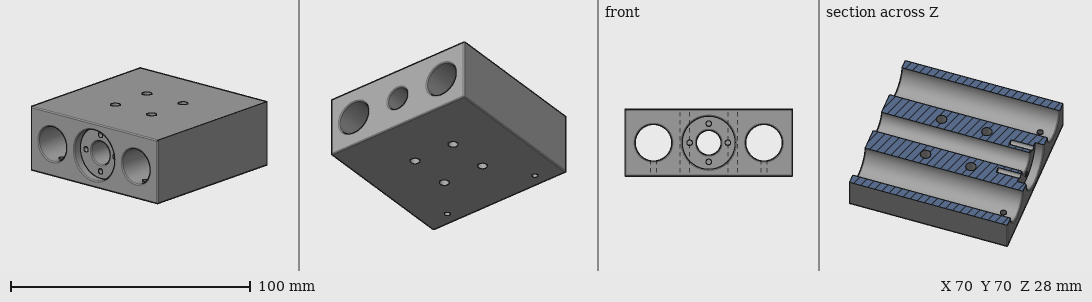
import cadquery as cq

SIDE = 70.0
HEIGHT = 28.0
EDGE_RADIUS = 0.5

SIDE_BORE_DIAMETER = 15.2
SIDE_BORE_OFFSET = 23.0

SET_SCREW_DIAMETER = 2.5
SET_SCREW_SETBACK = 6.0

CENTRE_BORE_DIAMETER = 10.2
SEAT_DIAMETER = 22.1
SEAT_DEPTH = 4.0

FLANGE_SCREW_DIAMETER = 2.3
FLANGE_SCREW_CIRCLE_RADIUS = 8.0
FLANGE_SCREW_DEPTH = 10.0
FLANGE_SCREW_COUNT = 4

MOUNTING_DIAMETER = 4.1
MOUNTING_SPACING = 20.0

FRONT_Y = -SIDE / 2
SEAT_FLOOR_Y = FRONT_Y + SEAT_DEPTH
SIDE_BORE_POSITIONS = (-SIDE_BORE_OFFSET, SIDE_BORE_OFFSET)


def cylinder_along_y(diameter, length, x):
    """Cylinder at mid height, running from the front face toward +Y."""
    return cq.Workplane("XZ", origin=(x, FRONT_Y, 0)).circle(diameter / 2).extrude(-length)


def make_block():
    """Block with rounded edges; the two top edges along Y stay sharp."""
    block = cq.Workplane("XY").box(SIDE, SIDE, HEIGHT)
    return block.edges("not (|Y and >Z)").fillet(EDGE_RADIUS)


def cut_bores(body):
    """Side bores, central bore and flange seat, with every mouth rounded."""
    for x in SIDE_BORE_POSITIONS:
        body = body.cut(cylinder_along_y(SIDE_BORE_DIAMETER, SIDE, x))
    body = body.cut(cylinder_along_y(CENTRE_BORE_DIAMETER, SIDE, 0))
    body = body.cut(cylinder_along_y(SEAT_DIAMETER, SEAT_DEPTH, 0))

    body = body.faces("<Y").edges("%CIRCLE").fillet(EDGE_RADIUS)
    body = body.faces(">Y").edges("%CIRCLE").fillet(EDGE_RADIUS)
    bore_rim = cq.selectors.RadiusNthSelector(0)
    seat_floor = body.faces(cq.selectors.NearestToPointSelector((0, SEAT_FLOOR_Y, 0)))
    return seat_floor.edges("%CIRCLE").edges(bore_rim).fillet(EDGE_RADIUS)


def cut_set_screw_holes(body):
    """Holes from the underside that end inside the side bores."""
    set_screw_y = FRONT_Y + SET_SCREW_SETBACK
    holes = (
        cq.Workplane("XY", origin=(0, 0, -HEIGHT / 2))
        .pushPoints([(x, set_screw_y) for x in SIDE_BORE_POSITIONS])
        .circle(SET_SCREW_DIAMETER / 2)
        .extrude(HEIGHT / 2)
    )
    return body.cut(holes)


def cut_flange_screw_holes(body):
    holes = (
        cq.Workplane("XZ", origin=(0, SEAT_FLOOR_Y, 0))
        .polarArray(FLANGE_SCREW_CIRCLE_RADIUS, 0, 360, FLANGE_SCREW_COUNT)
        .circle(FLANGE_SCREW_DIAMETER / 2)
        .extrude(-FLANGE_SCREW_DEPTH)
    )
    return body.cut(holes)


def cut_mounting_holes(body):
    holes = (
        cq.Workplane("XY")
        .rarray(MOUNTING_SPACING, MOUNTING_SPACING, 2, 2)
        .circle(MOUNTING_DIAMETER / 2)
        .extrude(HEIGHT / 2, both=True)
    )
    return body.cut(holes)


result = make_block()
result = cut_bores(result)
result = cut_set_screw_holes(result)
result = cut_flange_screw_holes(result)
result = cut_mounting_holes(result)